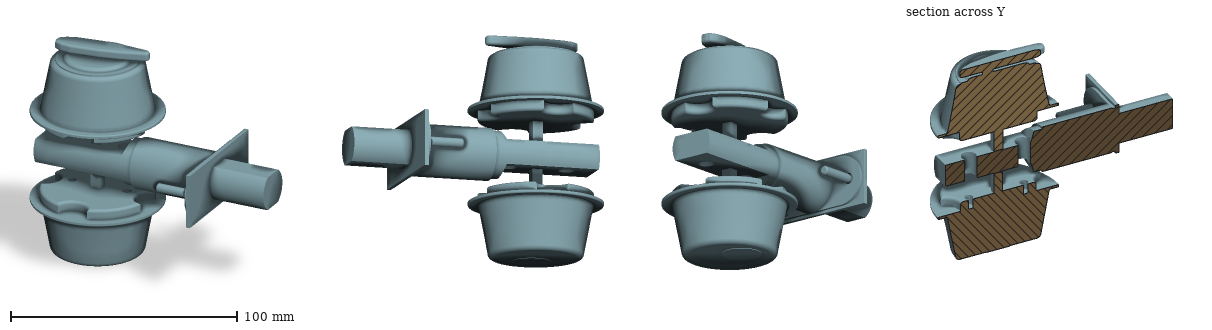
import cadquery as cq
import math


FLANGE_DIA = 60.3
FLANGE_INNER_Z = 20.6
FLANGE_OUTER_Z = 22.0
FLANGE_EDGE_FILLET = 0.6
DOME_FOOT_RADIUS = 25.7
DOME_BASE_RADIUS = 25.4
DOME_BASE_Z = 22.7
DOME_SHOULDER_RADIUS = 21.3
DOME_SHOULDER_Z = 44.0
DOME_TOP_RADIUS = 18.7
DOME_TOP_Z = 45.7

BOSS_INNER_Z = 15.9
BOSS_RADIUS = 25.8
BOSS_FILLET = 1.4
SCALLOP_COUNT = 4
SCALLOP_RADIUS = 7.2
SCALLOP_CENTER_RADIUS = 26.1

SPINDLE_SIZE = 4.7

TURN_ANGLE = 7.0
RIM_STEP = 0.6
CAP_BASE_RADIUS = 15.4
CAP_TOP_RADIUS = 13.1
CAP_TOP_Z = 47.7
NECK_DIA = 5.6
NECK_X = -5.3
KNOB_BOTTOM_Z = 48.7
KNOB_TOP_Z = 53.0
KNOB_FILLET = 1.2
KNOB_TIP_X = 24.3
KNOB_SIDE = [(22.9, 2.2), (11.5, 4.3), (2.0, 5.4), (-11.5, 5.3), (-16.0, 4.2), (-19.3, 2.2), (-19.6, 0)]

KEY_BUTTON_DIA = 17.9
KEY_BUTTON_Y = -6.9
KEY_BUTTON_RISE = 0.2
HOLE_Y = 1.8
FIXING_HOLE_DIA = 4.0
FIXING_HOLE_OFFSET = 13.7
FIXING_HOLE_DEPTH = 4.7

TAIL_END_X = -26.4
TAIL_DIA = 21.4
TAIL_THICKNESS = 11.2
TAPER_START_X = 16.1
TAPER_END_X = 17.7
BARREL_START_X = 21.6
BARREL_DIA = 23.5
TAIL_HOLE_DIA = 7.0
TAIL_HOLE_XS = (-13.7, 13.0)
PAD_START_X = 56.8
PLATE_START_X = 58.2
PLATE_END_X = 60.1
PLATE_WIDTH = 57.3
PLATE_HEIGHT = 25.1
PAD_WIDTH = 55.2
PAD_HEIGHT = 22.7
BOLT_END_X = 86.7
BOLT_DIA = 18.7
BOLT_THICKNESS = 15.7

SCREW_SPACING = 41.1
SCREW_YS = [-SCREW_SPACING / 2, SCREW_SPACING / 2]
SCREW_START_X = 40.0
THREAD_END_X = 56.1
THREAD_DIA = 4.1
THREAD_CHAMFER = 0.6
SHANK_DIA = 3.6
SCREW_HOLE_DIA = 5.0
SCREW_HEAD_DIA = 8.4


def cylinder_x(diameter, start_x, end_x):
    """Cylinder on the X axis between two stations."""
    return cq.Workplane("YZ").workplane(offset=start_x).circle(diameter / 2).extrude(end_x - start_x)


def box_x(start_x, end_x, width, height):
    """Box centred on the X axis between two stations."""
    return cq.Workplane("YZ").workplane(offset=start_x).rect(width, height).extrude(end_x - start_x)


def cone_x(large_dia, small_dia, end_x):
    """90 degree countersink cone whose large end is at end_x."""
    depth = (large_dia - small_dia) / 2
    return cq.Workplane("XY").polyline([
        (end_x, 0), (end_x, large_dia / 2), (end_x - depth, small_dia / 2), (end_x - depth, 0),
    ]).close().revolve(360, (0, 0, 0), (1, 0, 0))


def make_flange_and_dome():
    """Round flange with a tapered dome above it, as on the upper housing."""
    flange = (
        cq.Workplane("XY").workplane(offset=FLANGE_INNER_Z).circle(FLANGE_DIA / 2)
        .extrude(FLANGE_OUTER_Z - FLANGE_INNER_Z)
        .faces(">Z").edges().fillet(FLANGE_EDGE_FILLET)
    )
    rounding_drop = DOME_TOP_Z - DOME_SHOULDER_Z
    rounding_width = DOME_SHOULDER_RADIUS - DOME_TOP_RADIUS
    rounding_mid = (
        DOME_TOP_RADIUS + rounding_width * math.sin(math.radians(45)),
        DOME_SHOULDER_Z + rounding_drop * math.cos(math.radians(45)),
    )
    dome = (
        cq.Workplane("XZ").moveTo(0, FLANGE_OUTER_Z).lineTo(DOME_FOOT_RADIUS, FLANGE_OUTER_Z)
        .lineTo(DOME_BASE_RADIUS, DOME_BASE_Z)
        .lineTo(DOME_SHOULDER_RADIUS, DOME_SHOULDER_Z)
        .threePointArc(rounding_mid, (DOME_TOP_RADIUS, DOME_TOP_Z))
        .lineTo(0, DOME_TOP_Z).close().revolve(360, (0, 0, 0), (0, 1, 0))
    )
    return flange.union(dome)


def make_boss():
    """Scalloped disc on the bolt side of the flange."""
    boss = (
        cq.Workplane("XY").workplane(offset=BOSS_INNER_Z).circle(BOSS_RADIUS)
        .extrude(FLANGE_INNER_Z - BOSS_INNER_Z)
    )
    scallops = (
        cq.Workplane("XY").workplane(offset=BOSS_INNER_Z)
        .polarArray(SCALLOP_CENTER_RADIUS, 0, 360, SCALLOP_COUNT)
        .circle(SCALLOP_RADIUS).extrude(FLANGE_INNER_Z - BOSS_INNER_Z)
    )
    return boss.cut(scallops).faces("<Z").edges().fillet(BOSS_FILLET)


def make_spindle():
    """Square spindle from the boss to the flat of the bolt tail."""
    tail_face_z = TAIL_THICKNESS / 2
    return (
        cq.Workplane("XY").workplane(offset=tail_face_z).rect(SPINDLE_SIZE, SPINDLE_SIZE)
        .extrude(BOSS_INNER_Z - tail_face_z)
    )


def make_housing_blank():
    """Everything both housings share, in the upper position."""
    return make_flange_and_dome().union(make_boss()).union(make_spindle())


def make_cap():
    """Low rounded cap on a stepped rim, on top of the thumbturn dome."""
    rim_z = DOME_TOP_Z + RIM_STEP
    rim = cq.Workplane("XY").workplane(offset=DOME_TOP_Z).circle(DOME_TOP_RADIUS).extrude(RIM_STEP)
    cap = (
        cq.Workplane("XZ").moveTo(0, CAP_TOP_Z).lineTo(CAP_TOP_RADIUS, CAP_TOP_Z)
        .tangentArcPoint((CAP_BASE_RADIUS, rim_z), relative=False)
        .lineTo(0, rim_z).close().revolve(360, (0, 0, 0), (0, 1, 0))
    )
    return rim.union(cap)


def make_knob():
    """Teardrop lever on a short neck; its length lies along X."""
    other_side = [(x, -y) for x, y in reversed(KNOB_SIDE[:-1])]
    outline = (
        cq.Workplane("XY").workplane(offset=KNOB_BOTTOM_Z).polyline(KNOB_SIDE + other_side)
        .threePointArc((KNOB_TIP_X, 0), KNOB_SIDE[0]).close()
    )
    lever = outline.extrude(KNOB_TOP_Z - KNOB_BOTTOM_Z).faces("<Z or >Z").edges().fillet(KNOB_FILLET)
    neck = (
        cq.Workplane("XY").workplane(offset=CAP_TOP_Z).center(NECK_X, 0).circle(NECK_DIA / 2)
        .extrude(KNOB_BOTTOM_Z - CAP_TOP_Z)
    )
    return lever.union(neck)


def make_thumbturn_housing():
    housing = make_housing_blank().union(make_cap()).union(make_knob())
    return housing.rotate((0, 0, 0), (0, 0, 1), TURN_ANGLE)


def make_key_housing():
    housing = make_housing_blank().mirror("XY")
    button = (
        cq.Workplane("XY").workplane(offset=-DOME_TOP_Z).center(0, KEY_BUTTON_Y)
        .circle(KEY_BUTTON_DIA / 2).extrude(-KEY_BUTTON_RISE)
    )
    fixing_holes = (
        cq.Workplane("XY").workplane(offset=-BOSS_INNER_Z)
        .pushPoints([(-FIXING_HOLE_OFFSET, HOLE_Y), (FIXING_HOLE_OFFSET, HOLE_Y)])
        .circle(FIXING_HOLE_DIA / 2).extrude(-FIXING_HOLE_DEPTH)
    )
    return housing.union(button).cut(fixing_holes)


def make_tail():
    """Flat tail that swells through a taper into the full round."""
    half = TAIL_THICKNESS / 2
    full = TAIL_DIA / 2
    side_profile = (
        cq.Workplane("XZ").polyline([
            (TAIL_END_X, half), (TAPER_START_X, half), (TAPER_END_X, full), (BARREL_START_X, full),
            (BARREL_START_X, -full), (TAPER_END_X, -full), (TAPER_START_X, -half), (TAIL_END_X, -half),
        ]).close().extrude(full, both=True)
    )
    holes = (
        cq.Workplane("XY").pushPoints([(x, HOLE_Y) for x in TAIL_HOLE_XS]).circle(TAIL_HOLE_DIA / 2)
        .extrude(full, both=True)
    )
    return cylinder_x(TAIL_DIA, TAIL_END_X, BARREL_START_X).intersect(side_profile).cut(holes)


def make_faceplate():
    """Rectangular plate with a stadium-shaped pad behind it."""
    pad = (
        cq.Workplane("YZ").workplane(offset=PAD_START_X).slot2D(PAD_WIDTH, PAD_HEIGHT)
        .extrude(PLATE_START_X - PAD_START_X)
    )
    return box_x(PLATE_START_X, PLATE_END_X, PLATE_WIDTH, PLATE_HEIGHT).union(pad)


def make_screw_holes():
    hole = cylinder_x(SCREW_HOLE_DIA, PAD_START_X, PLATE_END_X)
    hole = hole.union(cone_x(SCREW_HEAD_DIA, SCREW_HOLE_DIA, PLATE_END_X))
    return [hole.translate((0, y, 0)) for y in SCREW_YS]


def make_bolt():
    barrel = cylinder_x(BARREL_DIA, BARREL_START_X, PAD_START_X)
    bolt_head = cylinder_x(BOLT_DIA, PLATE_END_X, BOLT_END_X).intersect(
        box_x(PLATE_END_X, BOLT_END_X, BOLT_DIA, BOLT_THICKNESS)
    )
    bolt = make_faceplate().union(barrel).union(make_tail()).union(bolt_head)
    for hole in make_screw_holes():
        bolt = bolt.cut(hole)
    return bolt


def make_screw(y):
    """Countersunk screw along X: thread, thinner shank, and a head flush with the plate."""
    thread = cylinder_x(THREAD_DIA, SCREW_START_X, THREAD_END_X).edges().chamfer(THREAD_CHAMFER)
    shank = cylinder_x(SHANK_DIA, THREAD_END_X - THREAD_CHAMFER, PLATE_END_X)
    head = cone_x(SCREW_HEAD_DIA, SHANK_DIA, PLATE_END_X)
    return thread.union(shank).union(head).translate((0, y, 0))


thumbturn_housing = make_thumbturn_housing()
key_housing = make_key_housing()
bolt = make_bolt()
screws = [make_screw(y) for y in SCREW_YS]

result = cq.Compound.makeCompound([
    thumbturn_housing.val(),
    key_housing.val(),
    bolt.val(),
    *[screw.val() for screw in screws],
])